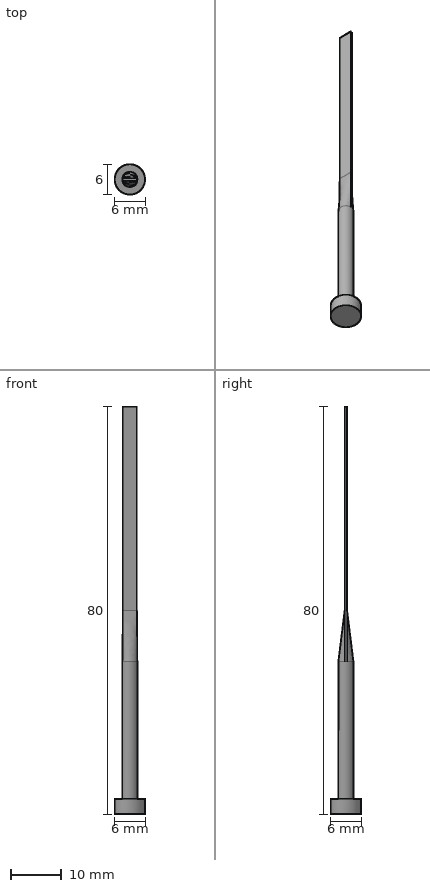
import cadquery as cq
import math

total_length = 80.0
head_diameter = 6.0
head_height = 3.0
shank_diameter = 3.0
blade_width = 2.8
blade_thickness = 0.51
blade_length = 40.0
transition_length = 10.0

blade_start = total_length - blade_length
shank_top = blade_start - transition_length


def make_head():
    return cq.Workplane("XY").circle(head_diameter / 2).extrude(head_height)


def make_shank():
    shank = cq.Workplane("XY").workplane(offset=head_height)
    return shank.circle(shank_diameter / 2).extrude(shank_top - head_height)


def make_transition():
    """Ruled loft from the round shank to the flat blade.

    The circle is split into four arcs, one for each side of the blade. The two short
    arcs are as tall in Y as the blade is thick, so the narrow sides keep their width.
    """
    radius = shank_diameter / 2
    half_thickness = blade_thickness / 2
    corner_x = math.sqrt(radius**2 - half_thickness**2)
    round_section = (
        cq.Workplane("XY")
        .workplane(offset=shank_top)
        .moveTo(-corner_x, -half_thickness)
        .threePointArc((0, -radius), (corner_x, -half_thickness))
        .threePointArc((radius, 0), (corner_x, half_thickness))
        .threePointArc((0, radius), (-corner_x, half_thickness))
        .threePointArc((-radius, 0), (-corner_x, -half_thickness))
        .wire()
        .val()
    )
    half_width = blade_width / 2
    flat_section = (
        cq.Workplane("XY")
        .workplane(offset=blade_start)
        .moveTo(-half_width, -half_thickness)
        .lineTo(half_width, -half_thickness)
        .lineTo(half_width, half_thickness)
        .lineTo(-half_width, half_thickness)
        .close()
        .val()
    )
    return cq.Workplane(cq.Solid.makeLoft([round_section, flat_section], True))


def make_blade():
    blade = cq.Workplane("XY").workplane(offset=blade_start)
    return blade.rect(blade_width, blade_thickness).extrude(blade_length)


result = make_head().union(make_shank()).union(make_transition()).union(make_blade())